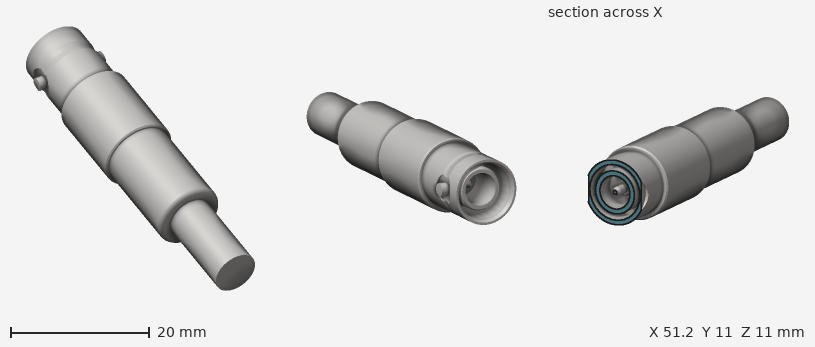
import cadquery as cq

total_length = 51.2
sleeve_start = 11.0
sleeve_end = 23.85
boot_end = 38.4

barrel_radius = 9.7 / 2
sleeve_radius = 11.0 / 2
boot_radius = 10.0 / 2
cable_radius = 3.3
sleeve_chamfer = 0.2
boot_fillet = 0.75

mouth_radius = 4.5
bore_front_radius = 4.2
bore_floor_radius = 4.05
mouth_depth = 0.5
bore_depth = 8.2
tube_start = 1.85
tube_radius = 3.2
tube_lip_radius = 2.95
tube_lip_taper = 0.5
tube_bore_radius = 4.85 / 2

lug_x = 4.25
lug_diameter = 1.95
flat_diameter = 4.4
flat_distance = 4.35
groove_width = 1.85
groove_depth = 0.15

contact_radius = 1.2
contact_chamfer = 0.15
contact_seat_depth = 1.55
contact_pin_radius = 0.65
contact_tip_radius = 0.25
contact_tip_length = 0.75
contact_pin_length = 3.05

contact_end = bore_depth + contact_seat_depth


def revolve_about_x(profile):
    """Turn a closed (x, radius) profile once around the X axis."""
    return profile.close().revolve(360, (0, 0, 0), (1, 0, 0))


def cylinder_x(start, end, radius):
    """Cylinder on the X axis between two stations."""
    return cq.Workplane("YZ", origin=(start, 0, 0)).circle(radius).extrude(end - start)


def make_outer_shape():
    """Solid barrel, chamfered sleeve and rounded boot."""
    barrel = cylinder_x(0, sleeve_start, barrel_radius)
    sleeve = cylinder_x(sleeve_start, sleeve_end, sleeve_radius).edges().chamfer(sleeve_chamfer)
    boot = cylinder_x(sleeve_end, boot_end, boot_radius).faces(">X").edges().fillet(boot_fillet)
    return barrel.union(sleeve).union(boot)


def make_socket():
    """Material removed at the mating end, around and inside the standing tube."""
    around_tube = revolve_about_x(
        cq.Workplane("XY")
        .moveTo(0, 0)
        .lineTo(0, mouth_radius)
        .lineTo(mouth_depth, bore_front_radius)
        .lineTo(bore_depth, bore_floor_radius)
        .lineTo(bore_depth, tube_radius)
        .lineTo(tube_start + tube_lip_taper, tube_radius)
        .lineTo(tube_start, tube_lip_radius)
        .lineTo(tube_start, 0)
    )
    inside_tube = cylinder_x(tube_start, bore_depth, tube_bore_radius)
    return around_tube.union(inside_tube)


def make_groove():
    """Shallow ring groove with a concave arc for its section."""
    half_width = groove_width / 2
    bottom_radius = barrel_radius - groove_depth
    return revolve_about_x(
        cq.Workplane("XY")
        .moveTo(lug_x - half_width, barrel_radius)
        .threePointArc((lug_x, bottom_radius), (lug_x + half_width, barrel_radius))
    )


def make_lug_features(side):
    """Round flat to cut, and lug to add, on one side of the barrel (+1 or -1 along Y)."""
    plane = cq.Plane(origin=(lug_x, side * flat_distance, 0), xDir=(1, 0, 0), normal=(0, side, 0))
    lug_height = sleeve_radius - flat_distance
    flat_cut = cq.Workplane(plane).circle(flat_diameter / 2).extrude(lug_height)
    lug = cq.Workplane(plane).circle(lug_diameter / 2).extrude(lug_height)
    rounded_end = cylinder_x(0, sleeve_start, sleeve_radius)
    return flat_cut, lug.intersect(rounded_end)


def make_contact():
    """Stepped centre contact: seated shank, chamfered shoulder and cone-tipped pin."""
    shoulder_radius = contact_radius - contact_chamfer
    pin_start = bore_depth - contact_pin_length
    return revolve_about_x(
        cq.Workplane("XY")
        .moveTo(pin_start, 0)
        .lineTo(pin_start, contact_tip_radius)
        .lineTo(pin_start + contact_tip_length, contact_pin_radius)
        .lineTo(bore_depth - contact_chamfer, contact_pin_radius)
        .lineTo(bore_depth - contact_chamfer, shoulder_radius)
        .lineTo(bore_depth, contact_radius)
        .lineTo(contact_end, contact_radius)
        .lineTo(contact_end, 0)
    )


def make_housing():
    """Housing with its socket, groove, lugs and seat for the contact."""
    housing = make_outer_shape().cut(make_groove())
    for side in (-1, 1):
        flat_cut, lug = make_lug_features(side)
        housing = housing.cut(flat_cut).union(lug)
    contact_seat = cylinder_x(bore_depth, contact_end, contact_radius)
    return housing.cut(make_socket()).cut(contact_seat)


housing = make_housing()
contact = make_contact()
cable = cylinder_x(boot_end, total_length, cable_radius)

result = cq.Compound.makeCompound([housing.val(), contact.val(), cable.val()])